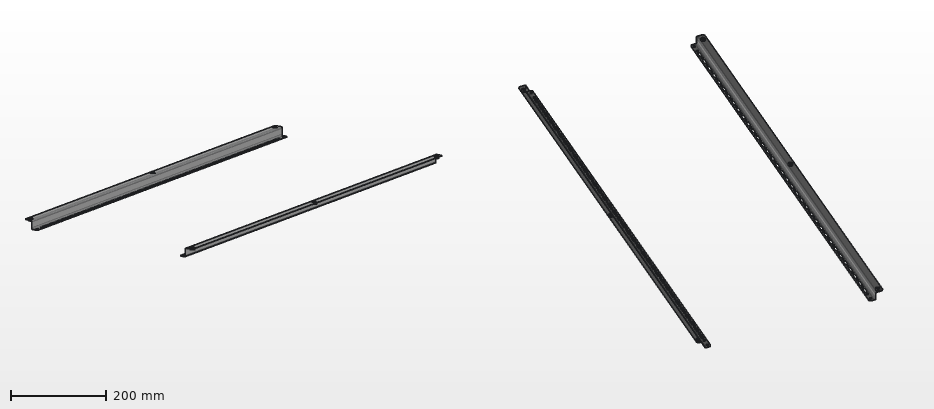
import cadquery as cq

RAIL_LENGTH = 923.0
OVERALL_WIDTH = 427.0
OVERALL_HEIGHT = 21.0
INSERT_PROUD = 0.7

SHEET = 1.5
RAIL_HEIGHT = OVERALL_HEIGHT - INSERT_PROUD
UPPER_FLANGE_WIDTH = 18.0
SECTION_WIDTH = 32.0
INNER_BEND_RADIUS = 2.0
OUTER_BEND_RADIUS = INNER_BEND_RADIUS + SHEET
CORNER_CHAMFER = 3.5
UPPER_FLANGE_UNDERSIDE = RAIL_HEIGHT - SHEET
WEB_OUTER_X = UPPER_FLANGE_WIDTH - SHEET

SLOT_COUNT = 35
HOLE_COUNT = SLOT_COUNT + 1
HOLE_SPAN = 875.0
PITCH = HOLE_SPAN / (HOLE_COUNT - 1)
SLOT_LENGTH = 12.0
SLOT_WIDTH = 5.1
HOLE_DIAMETER = 4.8
SLOT_LINE_X = SECTION_WIDTH - 6.0
END_HOLE_SETBACK = 7.8
END_HOLE_SPACING = RAIL_LENGTH - 2 * END_HOLE_SETBACK

INSERT_X = 7.8
INSERT_SETBACK = 12.0
INSERT_END_Y = RAIL_LENGTH / 2 - INSERT_SETBACK
INSERT_STATIONS = [-INSERT_END_Y, 0, INSERT_END_Y]
COLLAR_DIAMETER = 10.0
COLLAR_HEIGHT = 4.0
NECK_DIAMETER = 6.8
BORE_DIAMETER = 4.0


def make_bent_profile():
    """Z-section with both bends rounded and the free flange corners chamfered."""
    blank = (
        cq.Workplane("XZ")
        .moveTo(0, RAIL_HEIGHT)
        .lineTo(UPPER_FLANGE_WIDTH, RAIL_HEIGHT)
        .lineTo(UPPER_FLANGE_WIDTH, SHEET)
        .lineTo(SECTION_WIDTH, SHEET)
        .lineTo(SECTION_WIDTH, 0)
        .lineTo(WEB_OUTER_X, 0)
        .lineTo(WEB_OUTER_X, UPPER_FLANGE_UNDERSIDE)
        .lineTo(0, UPPER_FLANGE_UNDERSIDE)
        .close()
        .extrude(RAIL_LENGTH / 2, both=True)
    )
    bends = [
        (UPPER_FLANGE_WIDTH, RAIL_HEIGHT, OUTER_BEND_RADIUS),
        (WEB_OUTER_X, UPPER_FLANGE_UNDERSIDE, INNER_BEND_RADIUS),
        (WEB_OUTER_X, 0, OUTER_BEND_RADIUS),
        (UPPER_FLANGE_WIDTH, SHEET, INNER_BEND_RADIUS),
    ]
    for x, z, radius in bends:
        bend_edge = cq.selectors.NearestToPointSelector((x, 0, z))
        blank = blank.edges(bend_edge).fillet(radius)
    return blank.edges("|Z and (<X or >X)").chamfer(CORNER_CHAMFER)


def lower_flange_row(spacing, count):
    """Workplane with evenly spaced points along the slot line, centred on Y = 0."""
    return cq.Workplane("XY").center(SLOT_LINE_X, 0).rarray(9, spacing, 1, count)


def make_rail():
    """Rail with its slots, round holes and insert seats."""
    slots = lower_flange_row(PITCH, SLOT_COUNT).rect(SLOT_WIDTH, SLOT_LENGTH).extrude(SHEET)
    holes = lower_flange_row(PITCH, HOLE_COUNT).circle(HOLE_DIAMETER / 2).extrude(SHEET)
    end_holes = lower_flange_row(END_HOLE_SPACING, 2).circle(HOLE_DIAMETER / 2).extrude(SHEET)
    seats = (
        cq.Workplane("XY", origin=(0, 0, UPPER_FLANGE_UNDERSIDE))
        .pushPoints([(INSERT_X, y) for y in INSERT_STATIONS])
        .circle(NECK_DIAMETER / 2)
        .extrude(SHEET)
    )
    return make_bent_profile().cut(slots).cut(holes).cut(end_holes).cut(seats)


def make_insert(y):
    """Insert: a collar under the upper flange and a bored neck that fills its seat."""
    return (
        cq.Workplane("XY", origin=(INSERT_X, y, UPPER_FLANGE_UNDERSIDE - COLLAR_HEIGHT))
        .circle(COLLAR_DIAMETER / 2)
        .extrude(COLLAR_HEIGHT)
        .faces(">Z")
        .workplane()
        .circle(NECK_DIAMETER / 2)
        .extrude(SHEET + INSERT_PROUD)
        .faces(">Z")
        .workplane()
        .hole(BORE_DIAMETER)
    )


left_hand_bodies = [make_rail()]
for station in INSERT_STATIONS:
    left_hand_bodies.append(make_insert(station))

bodies = []
for body in left_hand_bodies:
    left_body = body.translate((-OVERALL_WIDTH / 2, 0, -OVERALL_HEIGHT / 2))
    right_body = left_body.mirror("YZ")
    bodies.append(left_body.solids().val())
    bodies.append(right_body.solids().val())

result = cq.Compound.makeCompound(bodies)